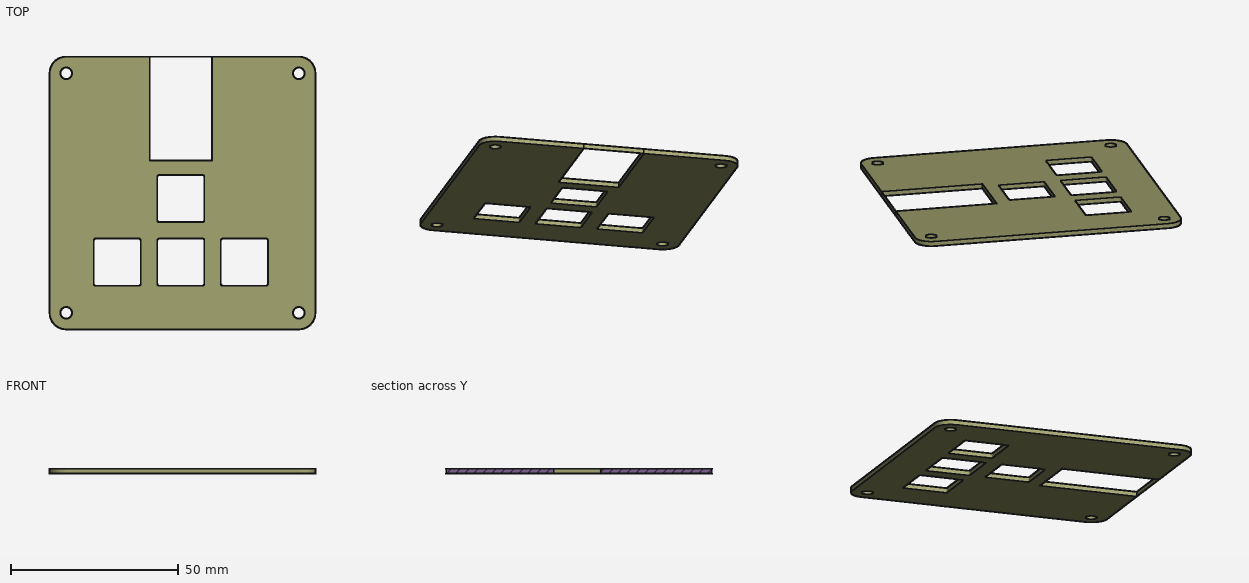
import cadquery as cq

plate_width = 79.53
plate_depth = 81.58
plate_thickness = 1.5
corner_radius = 5.0

screw_hole_diameter = 3.4
screw_hole_inset = corner_radius

cutout_centre_x = -0.5

window_width = 18.5
window_front_y = 9.8
window_web = 0.03

key_size = 14.0
key_pitch = 19.0
key_corner_radius = 0.5
key_row_y = -20.65


def make_plate():
    """Flat rounded rectangle, centred on the origin with its underside at Z = 0."""
    plate = cq.Workplane("XY").box(
        plate_width, plate_depth, plate_thickness, centered=(True, True, False)
    )
    return plate.edges("|Z").fillet(corner_radius)


def make_screw_holes():
    """Four through holes near the plate corners."""
    return (
        cq.Workplane("XY")
        .rect(
            plate_width - 2 * screw_hole_inset,
            plate_depth - 2 * screw_hole_inset,
            forConstruction=True,
        )
        .vertices()
        .circle(screw_hole_diameter / 2)
        .extrude(plate_thickness)
    )


def make_window():
    """Rectangular display opening reaching almost to the back edge."""
    window_back_y = plate_depth / 2 - window_web
    window_length = window_back_y - window_front_y
    return (
        cq.Workplane("XY")
        .center(cutout_centre_x, window_front_y + window_length / 2)
        .rect(window_width, window_length)
        .extrude(plate_thickness)
    )


def make_key_openings():
    """Arrow-key cluster of square openings with slightly rounded corners."""
    row = [(cutout_centre_x + step * key_pitch, key_row_y) for step in (-1, 0, 1)]
    upper_key = (cutout_centre_x, key_row_y + key_pitch)
    return (
        cq.Workplane("XY")
        .pushPoints(row + [upper_key])
        .rect(key_size, key_size)
        .extrude(plate_thickness)
        .edges("|Z")
        .fillet(key_corner_radius)
    )


result = (
    make_plate()
    .cut(make_screw_holes())
    .cut(make_window())
    .cut(make_key_openings())
)